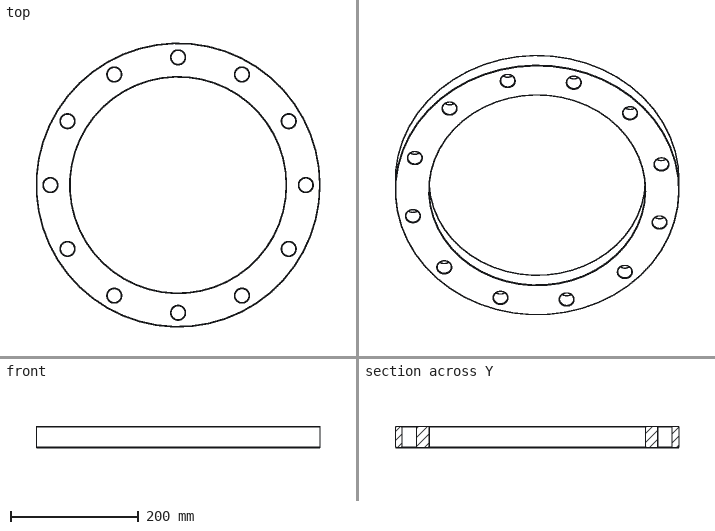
import cadquery as cq

outer_diameter = 445.0
bore_diameter = 338.0
thickness = 34.0
edge_chamfer = 1.0

hole_count = 12
hole_diameter = 22.0
bolt_circle_diameter = 400.0
hole_chamfer = edge_chamfer


def make_ring():
    """Flat ring resting on Z = 0, with its outer and bore edges chamfered."""
    ring = cq.Workplane("XY").circle(outer_diameter / 2).circle(bore_diameter / 2).extrude(thickness)
    return ring.faces("<Z or >Z").edges().chamfer(edge_chamfer)


def make_hole_cutters():
    """Through-hole cutters that widen at both ends, the first one on the X axis."""
    radius = hole_diameter / 2
    mouth_radius = radius + hole_chamfer
    cutter = (
        cq.Workplane("XZ")
        .moveTo(0, 0)
        .lineTo(mouth_radius, 0)
        .lineTo(radius, hole_chamfer)
        .lineTo(radius, thickness - hole_chamfer)
        .lineTo(mouth_radius, thickness)
        .lineTo(0, thickness)
        .close()
        .revolve(360, (0, 0, 0), (0, 1, 0))
        .val()
    )
    return (
        cq.Workplane("XY")
        .polarArray(bolt_circle_diameter / 2, 0, 360, hole_count)
        .eachpoint(lambda location: cutter.moved(location))
    )


result = make_ring().cut(make_hole_cutters())